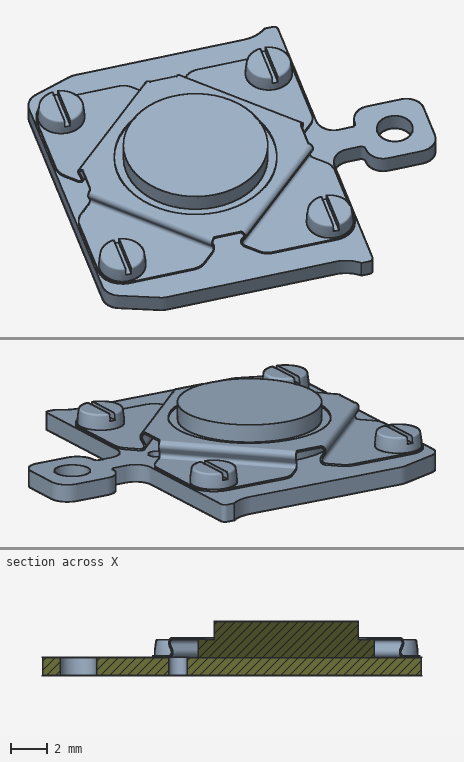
import cadquery as cq
import math

overall_length = 21.0
overall_width = 19.0
plate_thickness = 1.0
plate_depth = 15.0
plate_width = 18.0
ear_round = 0.25
ear_sweep_radius = 2.0
ear_sweep_end_y = 5.45
taper_start_y = -4.5
taper_end_x = 7.9
taper_top_round = 1.0
taper_foot_round = 1.0

tab_head_width = 4.2
tab_head_length = 4.0
tab_head_round = 1.0
tab_neck_width = 1.6
tab_neck_top_round = 0.25
tab_neck_foot_round = 1.0
tab_hole_diameter = 2.0
relief_hole_diameter = 1.0

screw_pitch = 12.0
screw_top_z = 2.0
screw_diameter = 2.6
screw_rim_diameter = 2.45
screw_rim_round = 0.13
slot_width = 0.32
slot_depth = 0.4

sheet_thickness = 0.1
retainer_top_z = 2.1
window_diameter = 9.0
fold_distance = 5.0
foot_width = 7.81
foot_square = 14.78
foot_shoulder_round = 1.0
foot_corner_round = 1.4
bend_outer_radius = 0.3
bend_overturn = 30.0

button_diameter = 8.0
button_flange_diameter = 9.8
button_top_z = 3.0

half_depth = plate_depth / 2
tab_end_y = overall_length - half_depth
tab_head_foot_y = tab_end_y - tab_head_length
tab_hole_y = tab_end_y - tab_head_length / 2
foot_top_z = plate_thickness + sheet_thickness
retainer_underside_z = retainer_top_z - sheet_thickness
relief_hole_y = screw_pitch / 2
corner_angles = [45, 135, 225, 315]


def round_corners(body, radius, points):
    """Fillet the upright edges of a flat body that stands on z = 0 at the given (x, y) points."""
    reach = 0.02
    for x, y in points:
        low_corner = (x - reach, y - reach, -reach)
        high_corner = (x + reach, y + reach, button_top_z)
        box = cq.selectors.BoxSelector(low_corner, high_corner)
        body = body.edges("|Z").edges(box).fillet(radius)
    return body


def both_sides(x, y):
    return [(-x, y), (x, y)]


def make_plate_slab():
    ear_x = overall_width / 2
    side_x = plate_width / 2
    sweep_centre_x = side_x + ear_sweep_radius

    def sweep_y(x):
        return ear_sweep_end_y + math.sqrt(ear_sweep_radius**2 - (sweep_centre_x - x) ** 2)

    ear_foot_y = sweep_y(ear_x)
    mid_x = side_x + (ear_x - side_x) / 4
    mid_y = sweep_y(mid_x)
    slab = (
        cq.Workplane("XY")
        .moveTo(-ear_x, half_depth)
        .lineTo(ear_x, half_depth)
        .lineTo(ear_x, ear_foot_y)
        .threePointArc((mid_x, mid_y), (side_x, ear_sweep_end_y))
        .lineTo(side_x, taper_start_y)
        .lineTo(taper_end_x, -half_depth)
        .lineTo(-taper_end_x, -half_depth)
        .lineTo(-side_x, taper_start_y)
        .lineTo(-side_x, ear_sweep_end_y)
        .threePointArc((-mid_x, mid_y), (-ear_x, ear_foot_y))
        .close()
        .extrude(plate_thickness)
    )
    slab = round_corners(slab, ear_round, both_sides(ear_x, half_depth))
    slab = round_corners(slab, taper_top_round, both_sides(side_x, taper_start_y))
    return round_corners(slab, taper_foot_round, both_sides(taper_end_x, -half_depth))


def make_plate():
    head = (
        cq.Workplane("XY")
        .center(0, tab_hole_y)
        .rect(tab_head_width, tab_head_length)
        .extrude(plate_thickness)
        .edges("|Z")
        .fillet(tab_head_round)
    )
    neck = (
        cq.Workplane("XY")
        .center(0, tab_hole_y / 2)
        .rect(tab_neck_width, tab_hole_y)
        .extrude(plate_thickness)
    )
    plate = make_plate_slab().union(neck).union(head)
    plate = round_corners(plate, tab_neck_top_round, both_sides(tab_neck_width / 2, tab_head_foot_y))
    plate = round_corners(plate, tab_neck_foot_round, both_sides(tab_neck_width / 2, half_depth))
    tab_hole = cq.Workplane("XY").center(0, tab_hole_y).circle(tab_hole_diameter / 2).extrude(plate_thickness)
    relief_hole = (
        cq.Workplane("XY").center(0, relief_hole_y).circle(relief_hole_diameter / 2).extrude(plate_thickness)
    )
    return plate.cut(tab_hole).cut(relief_hole)


def make_foot_strip():
    """Bent strip for one foot: the fold runs along Y and the foot points toward +X."""
    outer = bend_outer_radius
    inner = outer - sheet_thickness
    lean = math.radians(-bend_overturn)
    upper_x = fold_distance
    upper_z = retainer_top_z - outer
    lower_z = foot_top_z + inner
    web_length = (upper_z - lower_z + (outer + inner) * math.sin(lean)) / math.cos(lean)
    lower_x = upper_x + (outer + inner) * math.cos(lean) + web_length * math.sin(lean)
    upper_mid = (math.pi / 2 + lean) / 2
    strip_end_x = foot_square

    def on_upper(radius, angle):
        return (upper_x + radius * math.cos(angle), upper_z + radius * math.sin(angle))

    def on_lower(radius, angle):
        return (lower_x - radius * math.cos(angle), lower_z - radius * math.sin(angle))

    return (
        cq.Workplane("XZ")
        .moveTo(0, retainer_top_z)
        .lineTo(upper_x, retainer_top_z)
        .threePointArc(on_upper(outer, upper_mid), on_upper(outer, lean))
        .lineTo(*on_lower(inner, lean))
        .threePointArc(on_lower(inner, upper_mid), (lower_x, foot_top_z))
        .lineTo(strip_end_x, foot_top_z)
        .lineTo(strip_end_x, plate_thickness)
        .lineTo(lower_x, plate_thickness)
        .threePointArc(on_lower(outer, upper_mid), on_lower(outer, lean))
        .lineTo(*on_upper(inner, lean))
        .threePointArc(on_upper(inner, upper_mid), (upper_x, retainer_underside_z))
        .lineTo(0, retainer_underside_z)
        .close()
        .extrude(foot_width / 2, both=True)
    )


def make_foot():
    half_width = foot_width / 2
    tip_x = foot_square / math.sqrt(2)
    shoulder_x = tip_x - half_width
    outline = (
        cq.Workplane("XY")
        .moveTo(0, -half_width)
        .lineTo(shoulder_x, -half_width)
        .lineTo(tip_x, 0)
        .lineTo(shoulder_x, half_width)
        .lineTo(0, half_width)
        .close()
        .extrude(retainer_top_z)
    )
    shoulders = [(shoulder_x, -half_width), (shoulder_x, half_width)]
    outline = round_corners(outline, foot_shoulder_round, shoulders)
    outline = round_corners(outline, foot_corner_round, [(tip_x, 0)])
    return make_foot_strip().intersect(outline)


def make_retainer():
    fold_end_angle = math.degrees(math.atan2(foot_width / 2, fold_distance))
    fold_end_radius = math.hypot(foot_width / 2, fold_distance)
    corners = []
    for angle in corner_angles:
        for end_angle in (angle - fold_end_angle, angle + fold_end_angle):
            turn = math.radians(end_angle)
            corners.append((fold_end_radius * math.cos(turn), fold_end_radius * math.sin(turn)))
    retainer = (
        cq.Workplane("XY", origin=(0, 0, retainer_underside_z))
        .polyline(corners)
        .close()
        .extrude(sheet_thickness)
    )
    foot = make_foot()
    for angle in corner_angles:
        retainer = retainer.union(foot.rotate((0, 0, 0), (0, 0, 1), angle))
    window = cq.Workplane("XY").circle(window_diameter / 2).extrude(retainer_top_z)
    return retainer.cut(window)


def make_button():
    flange_height = retainer_underside_z - plate_thickness
    seat = cq.Workplane("XY", origin=(0, 0, plate_thickness))
    flange = seat.circle(button_flange_diameter / 2).extrude(flange_height)
    face = seat.circle(button_diameter / 2).extrude(button_top_z - plate_thickness)
    return flange.union(face)


def make_screw(x, y):
    """Slotted head resting on a foot; its side leans in gently toward a rounded rim."""
    rim_z = screw_top_z - screw_rim_round
    bulge = ((3 * screw_diameter + screw_rim_diameter) / 8, (foot_top_z + rim_z) / 2)
    face_radius = screw_rim_diameter / 2 - screw_rim_round
    rim_step = screw_rim_round * math.sqrt(0.5)
    rim_mid = (face_radius + rim_step, rim_z + rim_step)
    head = (
        cq.Workplane("XZ")
        .moveTo(0, foot_top_z)
        .lineTo(screw_diameter / 2, foot_top_z)
        .threePointArc(bulge, (screw_rim_diameter / 2, rim_z))
        .threePointArc(rim_mid, (face_radius, screw_top_z))
        .lineTo(0, screw_top_z)
        .close()
        .revolve(360, (0, 0, 0), (0, 1, 0))
    )
    slot_mid_z = screw_top_z - slot_depth / 2
    slot = cq.Workplane("XY", origin=(0, 0, slot_mid_z)).box(screw_diameter, slot_width, slot_depth)
    return head.cut(slot).translate((x, y, 0))


plate = make_plate()
retainer = make_retainer()
button = make_button()
screws = []
for x in (-screw_pitch / 2, screw_pitch / 2):
    for y in (-screw_pitch / 2, screw_pitch / 2):
        screws.append(make_screw(x, y).val())

result = cq.Compound.makeCompound([plate.val(), retainer.val(), button.val(), *screws])